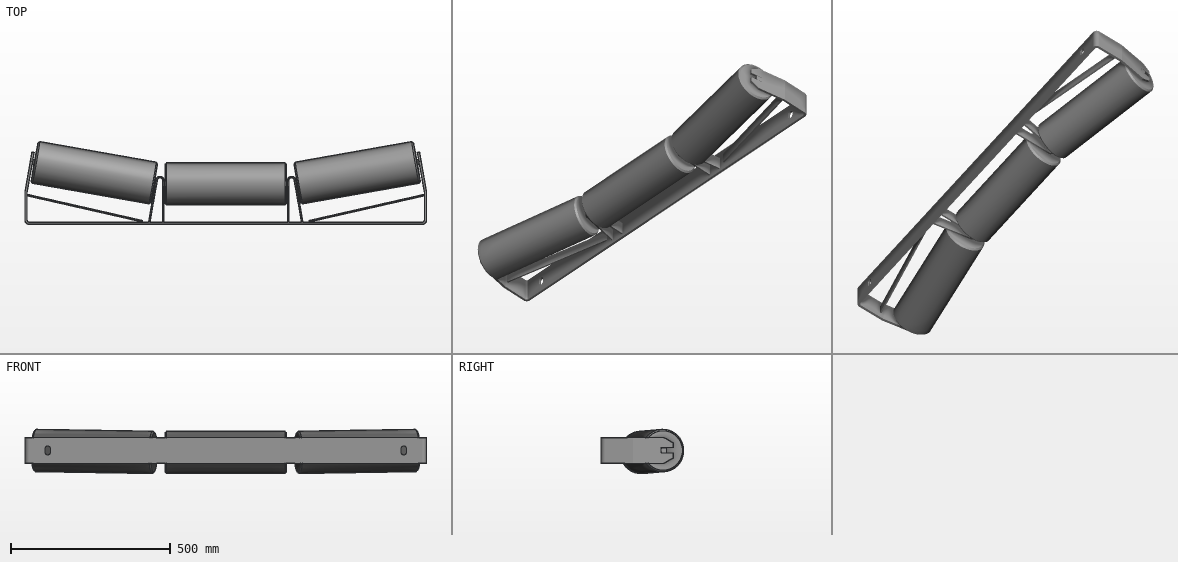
import cadquery as cq
import math

FRAME_LENGTH = 1260.0
STRIP_HEIGHT = 81.0
FRAME_THICK = 8.0
CORNER_RADIUS = 14.0
BEND_Y = 102.0
TOE_ANGLE = 10.0
LEAN_LENGTH = 127.0
TIP_CHAMFER_ALONG = 29.0
TIP_CHAMFER_ACROSS = 16.0

MOUNT_SLOT_INSET = 72.0
MOUNT_SLOT_LENGTH = 28.0
MOUNT_SLOT_WIDTH = 18.0

ROLLER_DIAMETER = 134.0
ROLLER_LENGTH = 380.0
ROLLER_CHAMFER = 5.0
END_GAP = 4.0
OUTER_GAP = 6.0
SHAFT_SIZE = 16.0
SHAFT_CLEARANCE = 0.6
SLOT_CORNER_RADIUS = 4.0

CENTRE_AXIS_Y = 127.0
CENTRE_AXIS_DROP = 6.0
SIDE_AXIS_ALONG = 97.0

BRACKET_HEIGHT = 43.0
BRACKET_THICK = 5.0
BRACKET_TOP_Y = 150.0
BRACKET_BEND_RADIUS = 9.0

BRACE_HEIGHT = 33.0
BRACE_THICK = 5.0
BRACE_TOP_Y = 90.0
BRACE_FOOT_X = 262.0

HALF_LENGTH = FRAME_LENGTH / 2
toe = math.radians(TOE_ANGLE)
up_x, up_y = math.sin(toe), math.cos(toe)
in_x, in_y = math.cos(toe), -math.sin(toe)

end_to_roller_centre = FRAME_THICK + OUTER_GAP + ROLLER_LENGTH / 2
side_axis_x = -HALF_LENGTH + SIDE_AXIS_ALONG * up_x
side_axis_y = BEND_Y + SIDE_AXIS_ALONG * up_y
side_centre_x = side_axis_x + end_to_roller_centre * in_x
side_centre_y = side_axis_y + end_to_roller_centre * in_y

outer_reach = OUTER_GAP + FRAME_THICK
inner_reach = END_GAP + BRACKET_THICK
side_shaft_length = outer_reach + ROLLER_LENGTH + inner_reach
tilt = math.degrees(math.asin(CENTRE_AXIS_DROP / side_shaft_length))
side_centre_drop = CENTRE_AXIS_DROP * end_to_roller_centre / side_shaft_length

slot_width = SHAFT_SIZE + 2 * SHAFT_CLEARANCE
slot_bottom_depth = SHAFT_SIZE / 2 + SHAFT_CLEARANCE


def mirrored(body):
    """Copy of a left-hand body on the right-hand side."""
    return body.mirror("YZ")


def extruded_plan(plan, height):
    """Extrude an XY outline to a height centred on Z = 0."""
    return plan.extrude(height / 2, both=True)


def open_slot(bottom_y, length_y, depth_x):
    """Cutter for a slot that runs through X and opens upward in Y, centred on X = Z = 0."""
    return (
        cq.Workplane("XY")
        .box(depth_x, length_y, slot_width, centered=(True, False, True))
        .edges("<Y and |X")
        .fillet(SLOT_CORNER_RADIUS)
        .translate((0, bottom_y, 0))
    )


def leaning_end_cutter():
    """Shaft slot and tip chamfers of the left leaning end."""
    cut_depth = 4 * FRAME_THICK
    half_height = STRIP_HEIGHT / 2
    slot = open_slot(SIDE_AXIS_ALONG - slot_bottom_depth, LEAN_LENGTH, cut_depth)
    chamfer = (
        cq.Workplane("YZ")
        .polyline([
            (LEAN_LENGTH - TIP_CHAMFER_ALONG, half_height),
            (LEAN_LENGTH, half_height - TIP_CHAMFER_ACROSS),
            (LEAN_LENGTH, half_height),
        ])
        .close()
        .extrude(cut_depth / 2, both=True)
    )
    return (
        slot.union(chamfer).union(chamfer.mirror("XY"))
        .rotate((0, 0, 0), (0, 0, 1), -TOE_ANGLE)
        .translate((-HALF_LENGTH, BEND_Y, 0))
    )


def make_frame():
    """Long bar with both ends bent up and leaning inward."""
    tip_x = -HALF_LENGTH + LEAN_LENGTH * up_x
    tip_y = BEND_Y + LEAN_LENGTH * up_y
    inner_x = -HALF_LENGTH + FRAME_THICK
    inner_bend_y = BEND_Y - FRAME_THICK * math.tan(toe / 2)
    outer_corner = cq.selectors.NearestToPointSelector((-HALF_LENGTH, 0, 0))
    inner_corner = cq.selectors.NearestToPointSelector((inner_x, FRAME_THICK, 0))
    bent_strip = extruded_plan(
        cq.Workplane("XY").polyline([
            (0, 0),
            (-HALF_LENGTH, 0),
            (-HALF_LENGTH, BEND_Y),
            (tip_x, tip_y),
            (tip_x + FRAME_THICK * in_x, tip_y + FRAME_THICK * in_y),
            (inner_x, inner_bend_y),
            (inner_x, FRAME_THICK),
            (0, FRAME_THICK),
        ]).close(),
        STRIP_HEIGHT,
    )
    bent_strip = bent_strip.edges(outer_corner).fillet(CORNER_RADIUS)
    bent_strip = bent_strip.edges(inner_corner).fillet(CORNER_RADIUS - FRAME_THICK)
    mounting_slot = (
        cq.Workplane("XZ")
        .center(-HALF_LENGTH + MOUNT_SLOT_INSET, 0)
        .slot2D(MOUNT_SLOT_LENGTH, MOUNT_SLOT_WIDTH, 90)
        .extrude(FRAME_THICK, both=True)
    )
    left_half = bent_strip.cut(leaning_end_cutter()).cut(mounting_slot)
    return left_half.union(mirrored(left_half)).clean()


def make_bracket():
    """Folded strip left of the centre roller: one upright leg and one leaning leg."""
    face_reach = ROLLER_LENGTH / 2 + END_GAP
    upright_x = -face_reach
    face_x = side_centre_x + face_reach * in_x
    face_y = side_centre_y + face_reach * in_y

    def fold(inset, bend_radius):
        """Solid between the legs, with its faces set in from the outside of the strip."""
        top_y = BRACKET_TOP_Y - inset
        leaning_offset = face_x + inset / math.cos(toe)
        plan = cq.Workplane("XY").polyline([
            (leaning_offset + (FRAME_THICK - face_y) * math.tan(toe), FRAME_THICK),
            (leaning_offset + (top_y - face_y) * math.tan(toe), top_y),
            (upright_x - inset, top_y),
            (upright_x - inset, FRAME_THICK),
        ]).close()
        return extruded_plan(plan, BRACKET_HEIGHT).edges("|Z and >Y").fillet(bend_radius)

    strip = fold(0, BRACKET_BEND_RADIUS).cut(fold(BRACKET_THICK, BRACKET_BEND_RADIUS - BRACKET_THICK))
    slot_bottom = min(CENTRE_AXIS_Y, face_y) - slot_bottom_depth - SHAFT_CLEARANCE
    slot = open_slot(slot_bottom, BRACKET_TOP_Y, ROLLER_LENGTH).translate((upright_x, 0, 0))
    return strip.cut(slot).translate((0, 0, -CENTRE_AXIS_DROP))


def make_brace():
    """Flat bar from the left frame end down to the frame bar."""
    inner_x = -HALF_LENGTH + FRAME_THICK
    run = -BRACE_FOOT_X - inner_x
    fall = BRACE_TOP_Y - FRAME_THICK
    length = math.hypot(run, fall)
    normal_x = BRACE_THICK * fall / length
    normal_y = BRACE_THICK * run / length
    return extruded_plan(
        cq.Workplane("XY").polyline([
            (inner_x, BRACE_TOP_Y),
            (-BRACE_FOOT_X, FRAME_THICK),
            (-BRACE_FOOT_X + normal_x, FRAME_THICK + normal_y),
            (inner_x, BRACE_TOP_Y + BRACE_THICK * length / run),
        ]).close(),
        BRACE_HEIGHT,
    )


def make_roller(left_reach, right_reach):
    """Roller along X, centred on the origin, with a square shaft end at each side."""
    half = ROLLER_LENGTH / 2
    drum = (
        cq.Workplane("YZ")
        .workplane(offset=-half)
        .circle(ROLLER_DIAMETER / 2)
        .extrude(ROLLER_LENGTH)
        .faces("<X or >X")
        .chamfer(ROLLER_CHAMFER)
    )
    shaft = (
        cq.Workplane("YZ")
        .workplane(offset=-half - left_reach)
        .rect(SHAFT_SIZE, SHAFT_SIZE)
        .extrude(left_reach + ROLLER_LENGTH + right_reach)
        .edges("|X and <Y")
        .fillet(SLOT_CORNER_RADIUS)
    )
    return drum.union(shaft)


def make_side_roller():
    """Left roller, raised at its outer end and tilted down toward the centre."""
    return (
        make_roller(outer_reach, inner_reach)
        .rotate((0, 0, 0), (0, 1, 0), tilt)
        .rotate((0, 0, 0), (0, 0, 1), -TOE_ANGLE)
        .translate((side_centre_x, side_centre_y, -side_centre_drop))
    )


frame = make_frame()
centre_roller = make_roller(inner_reach, inner_reach).translate((0, CENTRE_AXIS_Y, -CENTRE_AXIS_DROP))

paired_bodies = []
for left_body in (make_side_roller(), make_bracket(), make_brace()):
    paired_bodies += [left_body.val(), mirrored(left_body).val()]

result = cq.Compound.makeCompound([frame.val(), centre_roller.val(), *paired_bodies])